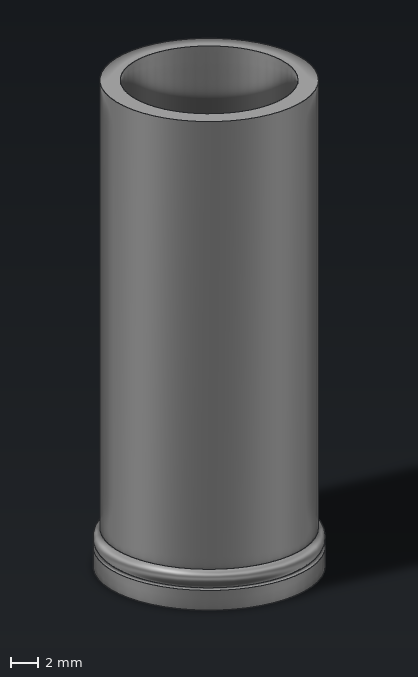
import cadquery as cq

total_length = 38.5
bore_diameter = 13.0
tube_diameter = 16.0
flange_diameter = 17.0
flange_height = 1.58
bead_height = 1.45

bore_radius = bore_diameter / 2
tube_radius = tube_diameter / 2
flange_radius = flange_diameter / 2
bead_top = flange_height + bead_height
bead_middle = flange_height + bead_height / 2

half_section = (
    cq.Workplane("XZ")
    .moveTo(bore_radius, 0)
    .lineTo(flange_radius, 0)
    .lineTo(flange_radius, flange_height)
    .lineTo(tube_radius, flange_height)
    .threePointArc((flange_radius, bead_middle), (tube_radius, bead_top))
    .lineTo(tube_radius, total_length)
    .lineTo(bore_radius, total_length)
    .close()
)

result = half_section.revolve(360, (0, 0, 0), (0, 1, 0))